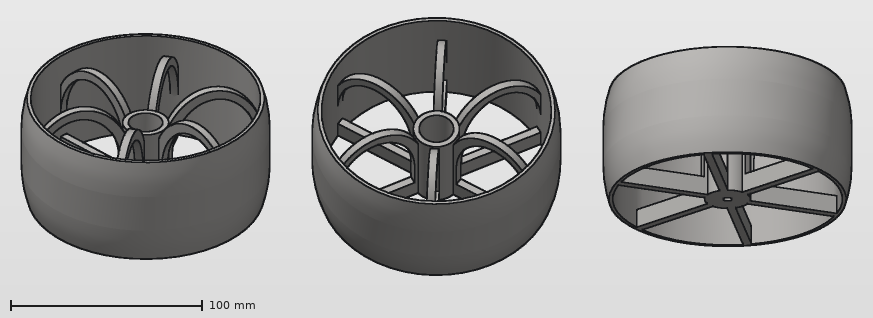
import cadquery as cq
import math

outer_radius = 65.0
inner_radius = 120.0 / 2
rim_height = 60.0
band_height = 20.8
shoulder_height = (rim_height - band_height) / 2
shoulder_arc_radius = 65.0

hub_radius = 24.0 / 2
hub_height = 45.0
bore_radius = 18.0 / 2
hub_floor = 10.0
axle_radius = 4.5 / 2

spoke_count = 6
first_spoke_angle = 30
spoke_width = 4.4
bar_height = 10.0
arch_base = 23.4
arch_center_radius = (hub_radius + inner_radius) / 2
arch_half_width = 28.0
arch_height = 36.0
opening_center_radius = 36.9
opening_half_width = inner_radius - opening_center_radius
opening_height = 30.8
overlap = 0.6


def shoulder_radius(distance):
    """Rim radius at a given axial distance beyond the central band."""
    return outer_radius - shoulder_arc_radius + math.sqrt(shoulder_arc_radius**2 - distance**2)


def make_rim():
    band_bottom = shoulder_height
    band_top = rim_height - shoulder_height
    end_radius = shoulder_radius(shoulder_height)
    middle_radius = shoulder_radius(shoulder_height / 2)
    return (
        cq.Workplane("XZ")
        .moveTo(inner_radius, 0)
        .lineTo(end_radius, 0)
        .threePointArc((middle_radius, band_bottom / 2), (outer_radius, band_bottom))
        .lineTo(outer_radius, band_top)
        .threePointArc((middle_radius, band_top + shoulder_height / 2), (end_radius, rim_height))
        .lineTo(inner_radius, rim_height)
        .close()
        .revolve(360, (0, 0, 0), (0, 1, 0))
    )


def spoke_plate(start, end, bottom, top):
    """Upright plate along X, centred on the XZ plane."""
    return cq.Workplane("XY").box(
        end - start, spoke_width, top - bottom, centered=(False, True, False)
    ).translate((start, 0, bottom))


def elliptical_plate(center_radius, half_width, half_height):
    return (
        cq.Workplane("XZ")
        .center(center_radius, arch_base)
        .ellipse(half_width, half_height)
        .extrude(spoke_width)
        .translate((0, spoke_width / 2, 0))
    )


def make_spoke():
    start = hub_radius - overlap
    end = inner_radius + overlap
    bar = spoke_plate(start, end, 0, bar_height)
    upper_limit = spoke_plate(start, end, arch_base, rim_height)
    opening = elliptical_plate(opening_center_radius, opening_half_width, opening_height)
    arch = elliptical_plate(arch_center_radius, arch_half_width, arch_height)
    arch = arch.intersect(upper_limit).cut(opening)
    leg = spoke_plate(start, opening_center_radius - opening_half_width, 0, arch_base)
    return bar.union(arch).union(leg)


def make_hub():
    return cq.Workplane("XY").circle(hub_radius).extrude(hub_height)


result = make_rim().union(make_hub())
spoke = make_spoke()
for index in range(spoke_count):
    angle = first_spoke_angle + index * 360 / spoke_count
    result = result.union(spoke.rotate((0, 0, 0), (0, 0, 1), angle))

bore = cq.Workplane("XY").workplane(offset=hub_floor).circle(bore_radius).extrude(rim_height)
axle_hole = cq.Workplane("XY").circle(axle_radius).extrude(rim_height)
result = result.cut(bore).cut(axle_hole)